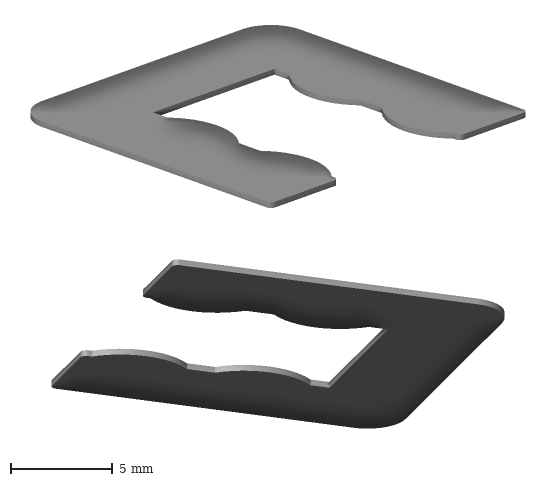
import cadquery as cq

side = 18.0
thickness = 0.3
back_corner_radius = 2.0
tip_corner_radius = 0.3

back_width = 5.0
slot_width = 8.5
slot_length = side - back_width

bump_chord = 5.0
bump_height = 0.97
bump_pitch = 6.5
first_bump_x = 8.51
bump_count = 2


def make_plate():
    """C-shaped plate with its back edge on X = 0 and centred on Y = 0."""
    plate = cq.Workplane("XY").box(side, side, thickness, centered=(False, True, False))
    slot = (
        cq.Workplane("XY")
        .box(slot_length, slot_width, thickness, centered=(False, True, False))
        .translate((back_width, 0, 0))
    )
    plate = plate.edges("|Z and <X").fillet(back_corner_radius)
    return plate.cut(slot).edges("|Z and >X").fillet(tip_corner_radius)


def make_bump(center_x, slot_side):
    """Circular segment rising from one slot edge; slot_side is +1 or -1 in Y."""
    edge_y = slot_side * slot_width / 2
    peak_y = edge_y - slot_side * bump_height
    return (
        cq.Workplane("XY")
        .moveTo(center_x - bump_chord / 2, edge_y)
        .threePointArc((center_x, peak_y), (center_x + bump_chord / 2, edge_y))
        .close()
        .extrude(thickness)
    )


result = make_plate()
for index in range(bump_count):
    for slot_side in (-1, 1):
        result = result.union(make_bump(first_bump_x + index * bump_pitch, slot_side))